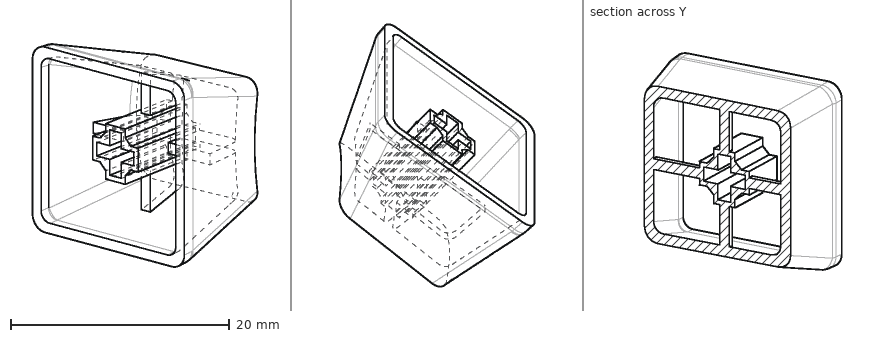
import cadquery as cq
import math

base_half = 9.0
skirt_half = 8.95
skirt_height = 1.25
outer_radius = 1.5

left_slope = 0.39
right_slope = 0.076
side_slope = 0.282

dish_tilt = math.radians(2.8)
dish_radius = 24.84
dish_center_height = 10.76
dish_length = 54.0
floor_thickness = 1.0

blank_height = 12.6

corner_clearance = 2.7
tolerance = 0.002

opening_half = 7.97
cavity_skirt_half = 7.92
cavity_skirt_height = 1.0
cavity_radius = 1.0

stem_start = 1.0
stem_arm = 2.68
stem_half_width = 1.15
stem_web_reach = 1.85
socket_arm = 2.2
socket_half_width = 0.67
rib_start = 5.4
rib_half_width = 0.54


def square_outline(half, height):
    return [(-half, height, -half), (half, height, -half), (half, height, half), (-half, height, half)]


def tilted_outline(half, height):
    """Where walls leaning in from a square outline meet the tilted blank plane."""
    tilt = math.tan(dish_tilt)
    rise = blank_height - height
    left = (left_slope * rise - half) / (1 - left_slope * tilt)
    right = (half - right_slope * rise) / (1 + right_slope * tilt)
    depth = half - side_slope * rise
    left_height = blank_height + tilt * left
    right_height = blank_height + tilt * right
    return [
        (left, left_height, -depth),
        (right, right_height, -depth),
        (right, right_height, depth),
        (left, left_height, depth),
    ]


def loft_between(lower, upper):
    """Straight-sided solid between two four-cornered outlines."""
    wires = [cq.Wire.makePolygon([cq.Vector(*p) for p in corners], close=True) for corners in (lower, upper)]
    return cq.Workplane(cq.Solid.makeLoft(wires, True))


def tapered_block(open_half, shoulder_half, shoulder_height):
    """Sharp-edged block: a short drafted skirt, then the leaning walls."""
    shoulder = square_outline(shoulder_half, shoulder_height)
    skirt = loft_between(square_outline(open_half, 0), shoulder)
    walls = loft_between(shoulder, tilted_outline(shoulder_half, shoulder_height))
    return skirt.union(walls)


def xz_plane(height):
    """Sketch plane at the given Y; extruding by a negative length goes towards +Y."""
    return cq.Workplane("XZ", origin=(0, height, 0))


def dish_cutter(depth):
    """Tilted cylinder concentric with the dish, reaching the given depth below its surface."""
    axis = cq.Vector(math.cos(dish_tilt), math.sin(dish_tilt), 0)
    center = cq.Vector(0, dish_center_height + dish_radius / math.cos(dish_tilt), 0)
    start = center - axis * (dish_length / 2)
    return cq.Workplane(cq.Solid.makeCylinder(dish_radius + depth, dish_length, start, axis))


def corner_edges(block):
    """Edges that climb the four corners; only these stay clear of both middle planes."""
    def is_corner(edge):
        center = edge.Center()
        return min(abs(center.x), abs(center.z)) > corner_clearance
    return [edge for edge in block.edges().vals() if is_corner(edge)]


def shoulder_edges(block, height):
    """Level edges where the skirt meets the leaning walls."""
    def is_shoulder(edge):
        box = edge.BoundingBox()
        return max(abs(box.ymin - height), abs(box.ymax - height)) < tolerance
    return [edge for edge in block.edges().vals() if is_shoulder(edge)]


def outer_body():
    block = tapered_block(base_half, skirt_half, skirt_height)
    rounded = corner_edges(block) + shoulder_edges(block, skirt_height)
    return block.newObject(rounded).fillet(outer_radius).cut(dish_cutter(0))


def cavity_body():
    block = tapered_block(opening_half, cavity_skirt_half, cavity_skirt_height)
    block = block.cut(dish_cutter(floor_thickness))
    block = block.newObject(corner_edges(block)).fillet(cavity_radius)
    floor = cq.selectors.NearestToPointSelector((0, dish_center_height - floor_thickness, 0))
    return block.faces(floor).edges().fillet(cavity_radius)


def bars(start, arm, half_width):
    """Two crossed bars along X and Z, from the given height to beyond the dish."""
    length = blank_height - start
    along_x = xz_plane(start).rect(2 * arm, 2 * half_width).extrude(-length)
    along_z = xz_plane(start).rect(2 * half_width, 2 * arm).extrude(-length)
    return along_x.union(along_z)


def stem_body():
    """Cross whose inner corners are filled by 45-degree webs."""
    web_cut = stem_web_reach - stem_half_width
    core = (
        xz_plane(stem_start)
        .rect(2 * stem_web_reach, 2 * stem_web_reach)
        .extrude(stem_start - blank_height)
        .edges("|Y")
        .chamfer(web_cut)
    )
    return bars(stem_start, stem_arm, stem_half_width).union(core)


outer = outer_body()
cavity = cavity_body()
inner_parts = stem_body().union(bars(rib_start, cavity_skirt_half, rib_half_width)).intersect(outer)
socket = bars(stem_start, socket_arm, socket_half_width).intersect(cavity)

result = outer.cut(cavity).union(inner_parts).cut(socket)